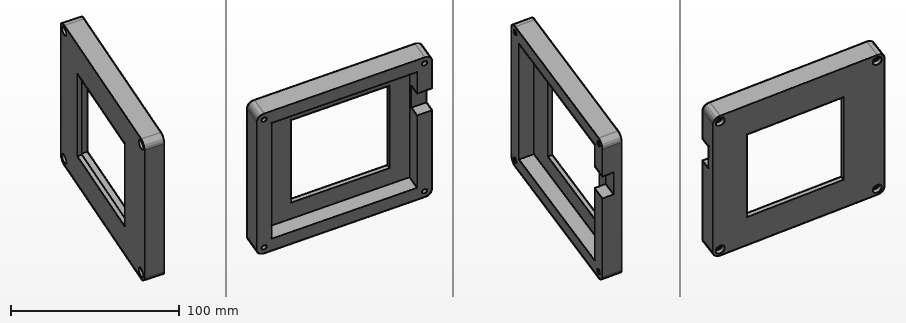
import cadquery as cq

width = 116.4
depth = 13.0
height = 116.3
corner_radius = 5.0

plate_thickness = 3.0
rim_width = 10.0

window_left = 23.2
window_width = 65.4
window_top_margin = 24.3
window_height = 68.6

screw_inset = 5.0
screw_diameter = 3.4
head_diameter = 6.0
head_depth = 3.0

notch_depth = 7.5
notch_height = 18.2
notch_top_margin = 27.9


def block(x, y, z, size_x, size_y, size_z):
    """Box with its lowest corner at (x, y, z)."""
    return cq.Workplane("XY").box(size_x, size_y, size_z, centered=False).translate((x, y, z))


def screw_hole(x, z):
    """Through hole along Y with a counterbore for the screw head in the front face."""
    front = cq.Workplane("XZ").center(x, z)
    shank = front.circle(screw_diameter / 2).extrude(-depth)
    head = front.circle(head_diameter / 2).extrude(-head_depth)
    return shank.union(head)


body = block(0, 0, 0, width, depth, height).edges("|Y").fillet(corner_radius)

cavity = block(
    rim_width, plate_thickness, rim_width,
    width - 2 * rim_width, depth - plate_thickness, height - 2 * rim_width,
)
body = body.cut(cavity)

window_bottom = height - window_top_margin - window_height
body = body.cut(block(window_left, 0, window_bottom, window_width, plate_thickness, window_height))

notch_bottom = height - notch_top_margin - notch_height
body = body.cut(block(0, depth - notch_depth, notch_bottom, rim_width, notch_depth, notch_height))

for hole_x in (screw_inset, width - screw_inset):
    for hole_z in (screw_inset, height - screw_inset):
        body = body.cut(screw_hole(hole_x, hole_z))

result = body